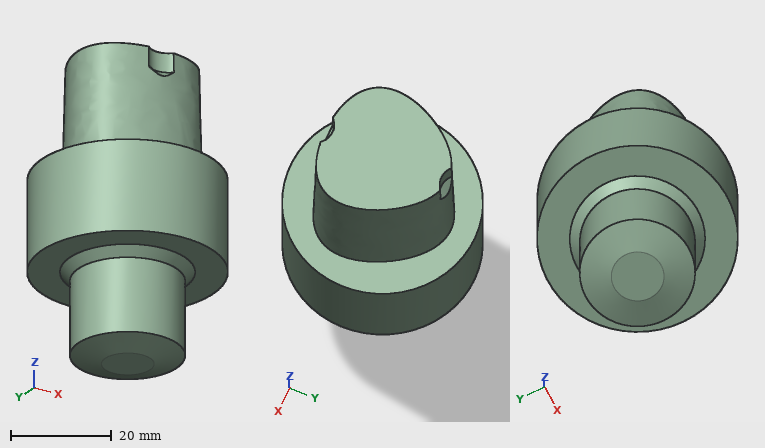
import cadquery as cq
import math

total_height = 64.0

flange_diameter = 40.0
flange_height = 20.0

spigot_diameter = 23.0
spigot_tip_radius = 5.25
spigot_tip_height = 1.8
neck_cone_height = 2.0

shank_height = 24.0
shank_base_diameter = 27.9
shank_taper = 1 / 20
lobe_offset = 0.95
outline_samples = 48

notch_diameter = 8.0
notch_depth = 4.2
notch_spacing = 31.8

flange_radius = flange_diameter / 2
spigot_radius = spigot_diameter / 2
flange_top = total_height - shank_height
flange_bottom = flange_top - flange_height
neck_bottom = flange_bottom - neck_cone_height
neck_top_radius = spigot_radius + neck_cone_height
shank_top_diameter = shank_base_diameter - shank_taper * shank_height


def make_turned_body():
    """Spigot with tapered tip, conical neck and flange, turned about Z."""
    profile = [
        (0, 0),
        (spigot_tip_radius, 0),
        (spigot_radius, spigot_tip_height),
        (spigot_radius, neck_bottom),
        (neck_top_radius, flange_bottom),
        (flange_radius, flange_bottom),
        (flange_radius, flange_top),
        (0, flange_top),
    ]
    return cq.Workplane("XZ").polyline(profile).close().revolve(360, (0, 0), (0, 1))


def lobed_outline(mean_diameter, z):
    """Closed three-lobed hypotrochoid with one lobe pointing to +Y."""
    points = []
    for step in range(outline_samples):
        angle = 2 * math.pi * step / outline_samples
        radius = mean_diameter / 2
        x = radius * math.sin(angle) - lobe_offset * math.sin(2 * angle)
        y = radius * math.cos(angle) + lobe_offset * math.cos(2 * angle)
        points.append(cq.Vector(x, y, z))
    return cq.Wire.assembleEdges([cq.Edge.makeSpline(points, periodic=True)])


def make_shank():
    """Tapered three-lobed shank standing on the flange."""
    base = lobed_outline(shank_base_diameter, flange_top)
    top = lobed_outline(shank_top_diameter, total_height)
    return cq.Workplane(obj=cq.Solid.makeLoft([base, top]))


def make_notch_cutter(y):
    """Drill-shaped cutter: vertical cylinder with a 90 degree point."""
    radius = notch_diameter / 2
    shoulder = total_height - notch_depth
    profile = [
        (0, shoulder - radius),
        (radius, shoulder),
        (radius, total_height),
        (0, total_height),
    ]
    cutter = cq.Workplane("XZ").polyline(profile).close().revolve(360, (0, 0), (0, 1))
    return cutter.translate((0, y, 0))


shank = make_shank()
for side in (-1, 1):
    shank = shank.cut(make_notch_cutter(lobe_offset + side * notch_spacing / 2))

result = make_turned_body().union(shank)